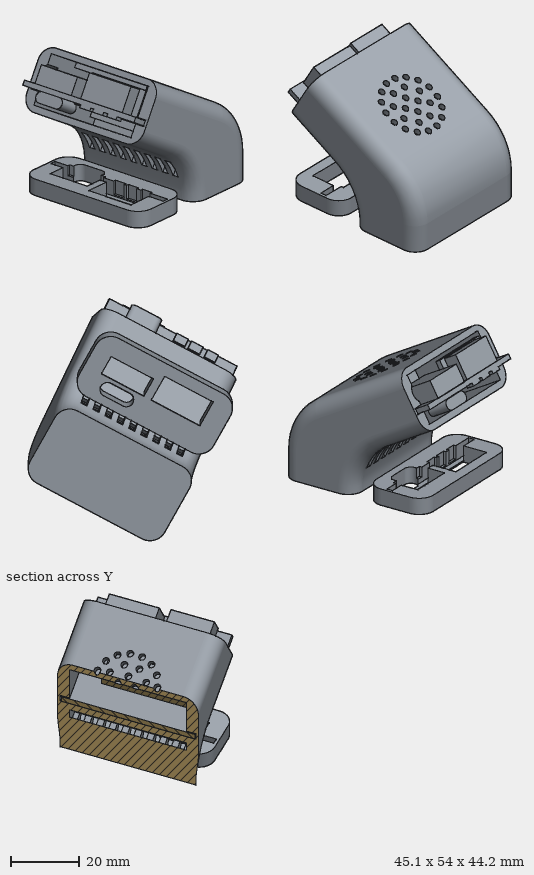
import cadquery as cq
import math


width = 45.1
corner_radius = 5.0
arm_rise = 30.0
arm_height = 20.1
arm_top_length = 35.2
base_depth = 25.05
back_height = 8.9
back_radius = 20.4
arm_bottom_length = 18.95

rise = math.radians(arm_rise)
turn = math.radians(90 - arm_rise)
rise_cos = math.cos(rise)
rise_sin = math.sin(rise)

back_arc_end = (
    back_radius * (1 - math.cos(turn)),
    back_height + back_radius * math.sin(turn),
)
end_top = (
    back_arc_end[0] + arm_top_length * rise_cos,
    back_arc_end[1] + arm_top_length * rise_sin,
)
end_bottom = (
    end_top[0] + arm_height * rise_sin,
    end_top[1] - arm_height * rise_cos,
)
front_arc_top = (
    end_bottom[0] - arm_bottom_length * rise_cos,
    end_bottom[1] - arm_bottom_length * rise_sin,
)

arm_plane = cq.Plane(
    origin=(0, -end_bottom[0], end_bottom[1]),
    xDir=(1, 0, 0),
    normal=(0, -rise_cos, rise_sin),
)
cover_gap = 5.05
cover_thickness = 5.3
cover_plane = cq.Plane(
    origin=(0, -(base_depth + cover_gap), cover_thickness),
    xDir=(1, 0, 0),
    normal=(0, 0, -1),
)

roof_thickness = 2.0
floor_thickness = 2.1
cavity_top = arm_height - roof_thickness
cavity_width = 37.35
cavity_depth = 28.4
groove_width = 43.2
groove_bottom = 6.4
groove_height = 2.0
side_hole_diameter = 6.5
side_hole_x = -16.65
side_hole_y = 12.2
side_hole_depth = 5.4

grille_hole_diameter = 2.0
grille_x = 0.4
grille_z = -22.05
grille_rings = [(4, 2.75, 0.0), (8, 6.3, 22.5), (16, 9.75, 11.25)]
vent_count = 9
vent_width = 2.0
vent_pitch = 2 * vent_width
vent_bottom = -4.2
vent_top = -0.85
vent_reach = 17.6
plenum_depth = 2.7
plenum_top = 4.35

board_width = 42.8
board_thickness = 1.6
board_bottom = 6.6
board_top = board_bottom + board_thickness
board_overhang = 4.75

block_left, block_right = -16.75, -2.85
block_height = 5.85
block_overhang = 5.5
block_length = 13.0

plug_left, plug_right = -0.05, 15.9
plug_height = 8.1
plug_overhang = 4.4
shell_left, shell_right = -2.25, 18.2
shell_height = 8.45
shell_setback = 0.2
shell_length = 1.6

usb_x = -9.9
usb_width = 10.0
usb_height = 3.5
usb_middle = board_bottom - usb_height / 2
usb_overhang = 5.6
usb_length = 7.3

button_spans = [(0.9, 4.8), (5.85, 9.75), (11.3, 14.9)]
button_height = 1.0
button_length = 2.5

speaker_right = 8.55
speaker_front = -13.25
speaker_back = -34.6
speaker_thickness = 1.6
screw_hole_diameter = 1.55
screw_hole_x = 5.75
screw_hole_z = -30.55

pocket_depth = 4.8
usb_hole_width = 10.7
usb_hole_diameter = 4.3
usb_recess_width = 13.7
usb_recess_depth = 3.2
connector_recess_bottom = 5.5
button_recess_depth = 4.4
window_clearance = 0.15


def block(x_span, y_span, z_span):
    """Box between two limits along each local axis."""
    (x0, x1), (y0, y1), (z0, z1) = x_span, y_span, z_span
    return cq.Workplane("XY").box(x1 - x0, y1 - y0, z1 - z0, centered=False).translate((x0, y0, z0))


def centered_span(size, middle=0.0):
    return (middle - size / 2, middle + size / 2)


def slot_bar(x, y, length, diameter, z_span):
    """Bar with round ends, standing along the local z axis."""
    z0, z1 = z_span
    return cq.Workplane("XY", origin=(x, y, z0)).slot2D(length, diameter).extrude(z1 - z0)


def place(shape, plane):
    """Move a shape from the local axes of a plane into its final place."""
    return cq.Workplane(shape.val().moved(cq.Location(plane)))


def make_outer_housing():
    """Bent bar with its long edges rounded."""
    def point(forward_height):
        return (-forward_height[0], forward_height[1])

    bar = (
        cq.Workplane("YZ", origin=(-width / 2, 0, 0))
        .moveTo(0, 0)
        .lineTo(0, back_height)
        .tangentArcPoint(point(back_arc_end), relative=False)
        .lineTo(*point(end_top))
        .lineTo(*point(end_bottom))
        .lineTo(*point(front_arc_top))
        .tangentArcPoint((-base_depth, 0), relative=False)
        .close()
        .extrude(width)
    )
    end_edges = bar.faces(cq.selectors.DirectionMinMaxSelector(arm_plane.zDir)).edges()
    foot_edges = bar.faces("<Z").edges()
    square_edges = end_edges.vals() + foot_edges.vals()
    side_edges = bar.faces("<X or >X").edges().vals()
    long_edges = [edge for edge in side_edges if not any(edge.isSame(other) for other in square_edges)]
    return bar.newObject(long_edges).fillet(corner_radius)


def make_cavity():
    """Hollow of the arm with the board grooves, the round side recess and the speaker recess."""
    hollow = block(centered_span(cavity_width), (floor_thickness, cavity_top), (-cavity_depth, 0))
    grooves = block(
        centered_span(groove_width),
        (groove_bottom, groove_bottom + groove_height),
        (-cavity_depth, 0),
    )
    side_hole = (
        cq.Workplane("XY", origin=(side_hole_x, side_hole_y, -side_hole_depth))
        .circle(side_hole_diameter / 2)
        .extrude(side_hole_depth)
    )
    speaker_recess = block(
        centered_span(cavity_width),
        (cavity_top - speaker_thickness, cavity_top),
        (speaker_back, -cavity_depth),
    )
    return hollow.union(grooves).union(side_hole).union(speaker_recess)


def make_vents():
    """Row of slots parallel to the arm, opening into a plenum behind the cavity."""
    vents = block(
        centered_span(cavity_width),
        (vent_top, plenum_top),
        (-cavity_depth - plenum_depth, -cavity_depth),
    )
    for index in range(vent_count):
        middle = (index - (vent_count - 1) / 2) * vent_pitch
        vents = vents.union(block(
            centered_span(vent_width, middle),
            (vent_bottom, vent_top),
            (-cavity_depth - plenum_depth, vent_reach - cavity_depth),
        ))
    return vents


def make_grille():
    """Rings of round holes through the roof of the arm."""
    points = []
    for count, radius, first_angle in grille_rings:
        for index in range(count):
            angle = math.radians(first_angle + index * 360 / count)
            points.append((radius * math.cos(angle), radius * math.sin(angle)))
    return (
        cq.Workplane("ZX", origin=(grille_x, cavity_top, grille_z))
        .pushPoints(points)
        .circle(grille_hole_diameter / 2)
        .extrude(roof_thickness)
    )


def make_housing():
    housing = make_outer_housing()
    for cut in (make_cavity(), make_vents(), make_grille()):
        housing = housing.cut(place(cut, arm_plane))
    return housing


def make_circuit_board():
    """Board with its connectors on top, and the USB socket and buttons underneath."""
    board = block(
        centered_span(board_width),
        (board_bottom, board_top),
        (-cavity_depth, board_overhang),
    )
    left_block = block(
        (block_left, block_right),
        (board_top, board_top + block_height),
        (block_overhang - block_length, block_overhang),
    )
    shell = block(
        (shell_left, shell_right),
        (board_top, board_top + shell_height),
        (-shell_setback - shell_length, -shell_setback),
    )
    plug = block(
        (plug_left, plug_right),
        (board_top, board_top + plug_height),
        (-shell_setback, plug_overhang),
    )
    usb = slot_bar(
        usb_x,
        usb_middle,
        usb_width,
        usb_height,
        (usb_overhang - usb_length, usb_overhang),
    )
    board = board.union(left_block).union(shell).union(plug).union(usb)
    for span in button_spans:
        board = board.union(block(
            span,
            (board_bottom - button_height, board_bottom),
            (board_overhang - button_length, board_overhang),
        ))
    return place(board, arm_plane)


def make_speaker():
    """Flat speaker under the grille, its rear half in a recess behind the cavity."""
    speaker = block(
        (-cavity_width / 2, speaker_right),
        (cavity_top - speaker_thickness, cavity_top),
        (speaker_back, speaker_front),
    )
    screw_hole = (
        cq.Workplane("ZX", origin=(screw_hole_x, cavity_top - speaker_thickness, screw_hole_z))
        .circle(screw_hole_diameter / 2)
        .extrude(speaker_thickness)
    )
    return place(speaker.cut(screw_hole), arm_plane)


def make_cover():
    """Cover plate with a board pocket, connector openings and button recesses."""
    plate = block(centered_span(width), (0, arm_height), (0, cover_thickness))
    plate = plate.edges("|Z").fillet(corner_radius)
    pocket_top = board_top + window_clearance

    board_pocket = block(centered_span(groove_width), (groove_bottom, pocket_top), (0, pocket_depth))
    usb_hole = slot_bar(
        usb_x,
        usb_middle,
        usb_hole_width,
        usb_hole_diameter,
        (0, cover_thickness),
    )
    usb_recess = block(
        centered_span(usb_recess_width, usb_x),
        (connector_recess_bottom, board_top),
        (0, usb_recess_depth),
    )
    left_window = block(
        (block_left - window_clearance, block_right + window_clearance),
        (board_top, board_top + block_height + window_clearance),
        (0, cover_thickness),
    )
    right_window = block(
        (plug_left - window_clearance, plug_right + window_clearance),
        (board_top, board_top + plug_height + window_clearance),
        (0, cover_thickness),
    )
    for cut in (board_pocket, usb_hole, usb_recess, left_window, right_window):
        plate = plate.cut(cut)
    for span in button_spans:
        plate = plate.cut(block(span, (connector_recess_bottom, board_top), (0, button_recess_depth)))
    return place(plate, cover_plane)


housing = make_housing()
circuit_board = make_circuit_board()
speaker = make_speaker()
cover = make_cover()

result = cq.Compound.makeCompound([
    housing.val(),
    circuit_board.val(),
    speaker.val(),
    cover.val(),
])